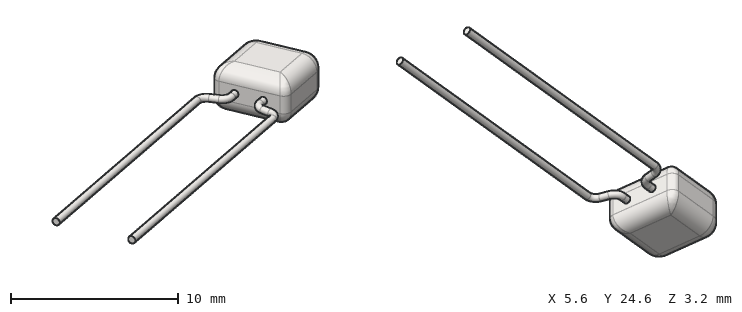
import cadquery as cq
import math

total_length = 24.6

case_width = 5.1
case_depth = 4.8
case_height = 3.2
case_round = 1.0
front_corner_round = 0.5

lead_diameter = 0.5
lead_spacing = 5.1
root_spacing = 1.92
bend_radius = 0.65
bend_end = 1.82
offset_slope = math.radians(13.0)


def make_case():
    """Rounded block whose smaller front corner rounds fade out on the top and bottom faces."""
    block = cq.Workplane("XY").box(case_width, case_depth, case_height).translate((0, case_depth / 2, 0))
    rounded = block.edges("|X or |Y or (|Z and >Y)").fillet(case_round)
    return rounded.edges("|Z and <Y").fillet(front_corner_round)


def make_lead(side):
    """Round wire that leaves the case, jogs outward and runs straight; side is -1 or 1."""
    root_x = root_spacing / 2
    end_x = lead_spacing / 2
    turn = math.pi / 2 - offset_slope
    arc_x = bend_radius * (1 - math.cos(turn))
    arc_y = bend_radius * math.sin(turn)
    half_x = bend_radius * (1 - math.cos(turn / 2))
    half_y = bend_radius * math.sin(turn / 2)
    slope_run = end_x - root_x - 2 * arc_x
    slope_drop = slope_run * math.tan(offset_slope)
    bend_start = bend_end - 2 * arc_y - slope_drop
    tip_y = case_depth - total_length

    path = (
        cq.Workplane("XY")
        .moveTo(side * root_x, 0)
        .lineTo(side * root_x, -bend_start)
        .threePointArc(
            (side * (root_x + half_x), -bend_start - half_y),
            (side * (root_x + arc_x), -bend_start - arc_y),
        )
        .lineTo(side * (end_x - arc_x), -bend_end + arc_y)
        .threePointArc((side * (end_x - half_x), -bend_end + half_y), (side * end_x, -bend_end))
        .lineTo(side * end_x, tip_y)
    )
    wire_section = cq.Workplane("XZ", origin=(side * root_x, 0, 0)).circle(lead_diameter / 2)
    return wire_section.sweep(path)


case = make_case()
leads = [make_lead(side) for side in (-1, 1)]

result = cq.Compound.makeCompound([case.val(), *[lead.val() for lead in leads]])